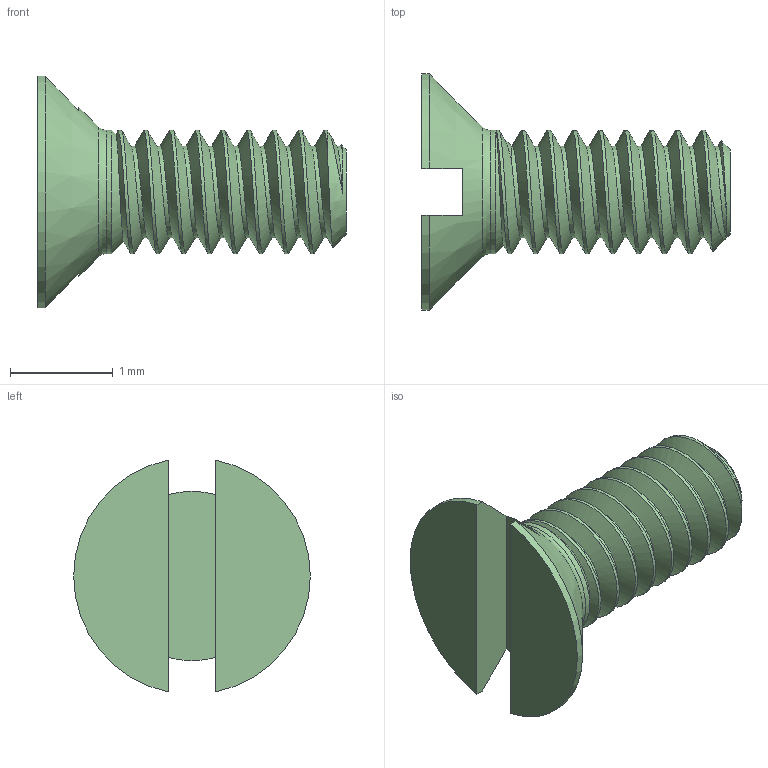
import cadquery as cq
import math


length = 3.0

head_radius = 2.3 / 2
rim_thickness = 0.073
slot_width = 0.46
slot_depth = 0.4
neck_fillet = 0.1

thread_radius = 1.2 / 2
pitch = 0.25
thread_angle = 60
flank_slope = math.tan(math.radians(thread_angle / 2))
sharp_height = pitch / 2 / flank_slope
thread_depth = 17 / 24 * sharp_height
root_radius = thread_radius - thread_depth
root_flat = pitch / 6
groove_turns = 11
groove_start = 0.423

shank_end = 0.72
tip_radius = 0.4125

head_length = rim_thickness + head_radius - thread_radius
tip_chamfer = thread_radius - tip_radius

clearance = 0.02


def revolve_about_x(outline):
    """Solid of revolution about the X axis, from (X, radius) corners.

    The outline lies on the -Z side, which puts the seams of the round faces there.
    """
    corners = [(x, -radius) for x, radius in outline]
    return cq.Workplane("XZ").polyline(corners).close().revolve(360, (0, 0, 0), (1, 0, 0))


def make_blank():
    """Unthreaded and unslotted screw, with the fillet between head cone and shank."""
    blank = revolve_about_x([
        (0, 0),
        (0, head_radius),
        (rim_thickness, head_radius),
        (head_length, thread_radius),
        (length - tip_chamfer, thread_radius),
        (length, tip_radius),
        (length, 0),
    ])
    neck_edge = cq.selectors.NearestToPointSelector((head_length, 0, thread_radius))
    return blank.edges("%CIRCLE").edges(neck_edge).fillet(neck_fillet)


def make_runout():
    """Region of the shank next to the head that the thread groove must not enter."""
    outer_radius = thread_radius + 2 * clearance
    return revolve_about_x([
        (0, 0),
        (0, outer_radius),
        (shank_end + thread_radius - outer_radius, outer_radius),
        (shank_end + thread_radius, 0),
    ])


def make_groove():
    """Right-handed helical groove, starting on the +Z side and running out through the tip."""
    cutter_radius = thread_radius + clearance
    root_half = root_flat / 2
    mouth_half = root_half + (cutter_radius - root_radius) * flank_slope
    helix = cq.Wire.makeHelix(pitch, groove_turns * pitch, root_radius)
    groove = (
        cq.Workplane("XZ")
        .moveTo(root_radius, -root_half)
        .lineTo(cutter_radius, -mouth_half)
        .lineTo(cutter_radius, mouth_half)
        .lineTo(root_radius, root_half)
        .close()
        .sweep(cq.Workplane(obj=helix), isFrenet=True)
    )
    screw_frame = cq.Plane(origin=(groove_start, 0, 0), xDir=(0, 0, 1), normal=(1, 0, 0))
    return cq.Workplane(groove.val().located(cq.Location(screw_frame)))


def make_slot():
    """Driver slot across the head, along Z."""
    return cq.Workplane("XY").box(
        slot_depth, slot_width, 2 * head_radius, centered=(False, True, True)
    )


thread_groove = make_groove().cut(make_runout())
result = make_blank().cut(thread_groove).cut(make_slot())